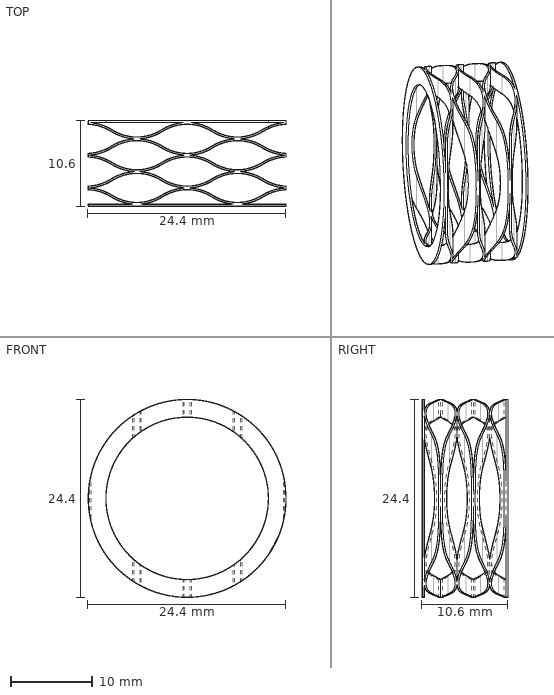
import cadquery as cq
import math

OUTER_DIAMETER = 24.38
INNER_DIAMETER = 20.0
LENGTH = 10.58
END_RING_THICKNESS = 0.27
STRIP_THICKNESS = 0.25
OVERLAP = 0.02
WAVE_COUNT = 5
WAVELENGTH = 12.39

PITCH = (LENGTH - 2 * END_RING_THICKNESS + OVERLAP) / WAVE_COUNT
WAVE_HEIGHT = PITCH + OVERLAP
RING_OFFSET = (LENGTH - END_RING_THICKNESS) / 2

HALF_WAVE = WAVELENGTH / 2
ARC_RISE = (WAVE_HEIGHT - STRIP_THICKNESS) / 2
ARC_RADIUS = ((HALF_WAVE / 2) ** 2 + ARC_RISE**2) / (2 * ARC_RISE)
JOINT_SLOPE = math.asin(HALF_WAVE / 2 / ARC_RADIUS)
TRIM_MARGIN = 1.22
ARCS_EACH_SIDE = 2


def wave_edge(offset, central_side):
    """Joints and arc tops, left to right, of the middle line shifted sideways by offset."""
    points = []
    for index in range(-ARCS_EACH_SIDE, ARCS_EACH_SIDE + 1):
        side = central_side * (-1) ** index
        middle = index * HALF_WAVE
        joint = (
            middle - HALF_WAVE / 2 - side * offset * math.sin(JOINT_SLOPE),
            offset * math.cos(JOINT_SLOPE),
        )
        points += [joint, (middle, side * ARC_RISE + offset)]
    last_joint = (
        middle + HALF_WAVE / 2 + side * offset * math.sin(JOINT_SLOPE),
        offset * math.cos(JOINT_SLOPE),
    )
    return points + [last_joint]


def add_arcs(profile, points):
    """Draw arcs through alternating arc tops and joints, from the first point on."""
    for top, joint in zip(points[1::2], points[2::2]):
        profile = profile.threePointArc(top, joint)
    return profile


def wavy_sheet(central_side):
    """Wavy sheet, straight along Z; central_side 1 puts a +Y crest at X = 0, -1 a -Y crest."""
    upper = wave_edge(STRIP_THICKNESS / 2, central_side)
    lower = wave_edge(-STRIP_THICKNESS / 2, central_side)[::-1]
    profile = add_arcs(cq.Workplane("XY").moveTo(*upper[0]), upper)
    profile = add_arcs(profile.lineTo(*lower[0]), lower).close()
    return profile.extrude(OUTER_DIAMETER / 2 + TRIM_MARGIN, both=True)


def sheet_stack():
    """Untrimmed stack of the wavy sheets between two flat end plates."""
    plate_size = OUTER_DIAMETER + 2 * TRIM_MARGIN
    plate = cq.Workplane("XY").box(plate_size, END_RING_THICKNESS, plate_size)
    stack = plate.translate((0, -RING_OFFSET, 0))
    for wave in range(WAVE_COUNT):
        wave_position = (wave - (WAVE_COUNT - 1) / 2) * PITCH
        stack = stack.union(wavy_sheet((-1) ** wave).translate((0, wave_position, 0)))
    return stack.union(plate.translate((0, RING_OFFSET, 0)))


tube = (
    cq.Workplane("XZ", origin=(0, LENGTH / 2, 0))
    .circle(OUTER_DIAMETER / 2)
    .circle(INNER_DIAMETER / 2)
    .extrude(LENGTH)
)
result = tube.intersect(sheet_stack())